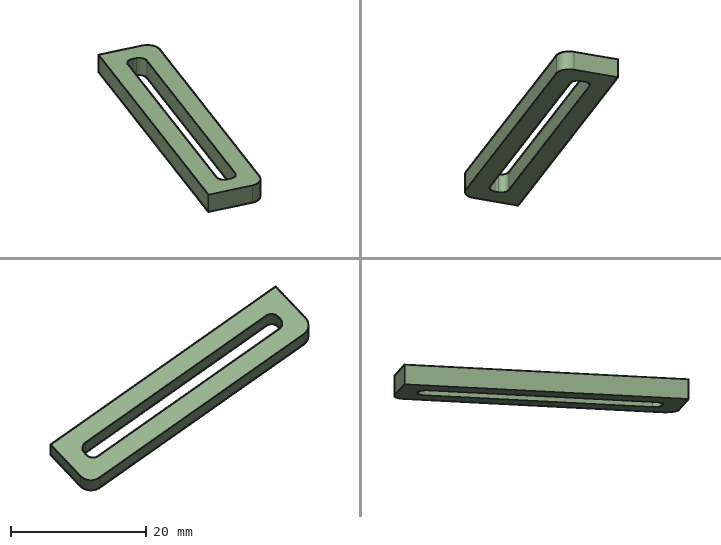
import cadquery as cq

length = 43.0
width = 9.0
thickness = 3.0
corner_radius = 2.0

margin = 3.0
slot_length = length - 2 * margin
slot_width = width - 2 * margin
slot_corner_radius = 1.2


def make_plate():
    """Flat bar with its two +Y corners rounded."""
    plate = cq.Workplane("XY").box(length, width, thickness)
    return plate.edges("|Z and >Y").fillet(corner_radius)


def make_slot():
    """Round-cornered cutter passing right through the plate."""
    slot = cq.Workplane("XY").box(slot_length, slot_width, thickness)
    return slot.edges("|Z").fillet(slot_corner_radius)


result = make_plate().cut(make_slot())